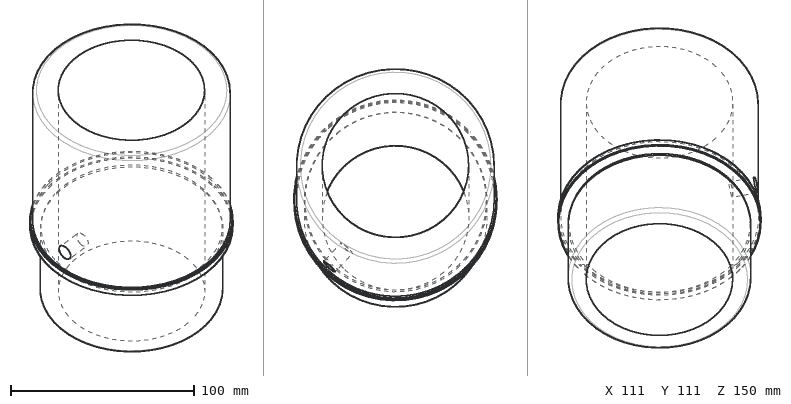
import cadquery as cq
import math

TOTAL_HEIGHT = 150.0
BORE_RADIUS = 40.0
BODY_RADIUS = 54.0
SPIGOT_RADIUS = 50.0
COLLAR_RADIUS = 55.5

COLLAR_BOTTOM = 48.0
COLLAR_HEIGHT = 5.0
COLLAR_CHAMFER = 0.5
TOP_ROUND = 2.0
FOOT_ROUND = 2.0

RELIEF_HEIGHT = 2.0
RELIEF_DEPTH = 0.5

PIN_HOLE_DIAMETER = 8.5
PIN_HOLE_ABOVE_COLLAR = 13.0

COLLAR_TOP = COLLAR_BOTTOM + COLLAR_HEIGHT
PIN_HOLE_LEVEL = COLLAR_TOP + PIN_HOLE_ABOVE_COLLAR


def cylinder(radius, bottom, top):
    """Solid cylinder on the Z axis between two levels."""
    return cq.Workplane("XY").workplane(offset=bottom).circle(radius).extrude(top - bottom)


def make_spigot():
    """Lower cylinder with a rounded foot and a concave relief under the collar."""
    spigot = cylinder(SPIGOT_RADIUS, 0, COLLAR_BOTTOM).faces("<Z").edges().fillet(FOOT_ROUND)
    relief_bottom = COLLAR_BOTTOM - RELIEF_HEIGHT
    relief_floor = SPIGOT_RADIUS - RELIEF_DEPTH
    arc_radius = (RELIEF_HEIGHT**2 + RELIEF_DEPTH**2) / (2 * RELIEF_DEPTH)
    half_sweep = math.asin(RELIEF_HEIGHT / arc_radius) / 2
    arc_middle = (
        relief_floor + arc_radius * (1 - math.cos(half_sweep)),
        COLLAR_BOTTOM - arc_radius * math.sin(half_sweep),
    )
    relief = (
        cq.Workplane("XZ")
        .moveTo(SPIGOT_RADIUS, relief_bottom)
        .threePointArc(arc_middle, (relief_floor, COLLAR_BOTTOM))
        .lineTo(SPIGOT_RADIUS, COLLAR_BOTTOM)
        .close()
        .revolve(360, (0, 0, 0), (0, 1, 0))
    )
    return spigot.cut(relief)


def make_collar():
    """Thin locating collar with both rims chamfered."""
    return cylinder(COLLAR_RADIUS, COLLAR_BOTTOM, COLLAR_TOP).edges().chamfer(COLLAR_CHAMFER)


def make_body():
    """Upper cylinder with a rounded top rim."""
    return cylinder(BODY_RADIUS, COLLAR_TOP, TOTAL_HEIGHT).faces(">Z").edges().fillet(TOP_ROUND)


def make_pin_hole():
    """Radial hole from the -Y side into the bore."""
    return (
        cq.Workplane("XZ")
        .center(0, PIN_HOLE_LEVEL)
        .circle(PIN_HOLE_DIAMETER / 2)
        .extrude(COLLAR_RADIUS)
    )


bore = cylinder(BORE_RADIUS, 0, TOTAL_HEIGHT)
result = make_spigot().union(make_collar()).union(make_body()).cut(bore).cut(make_pin_hole())